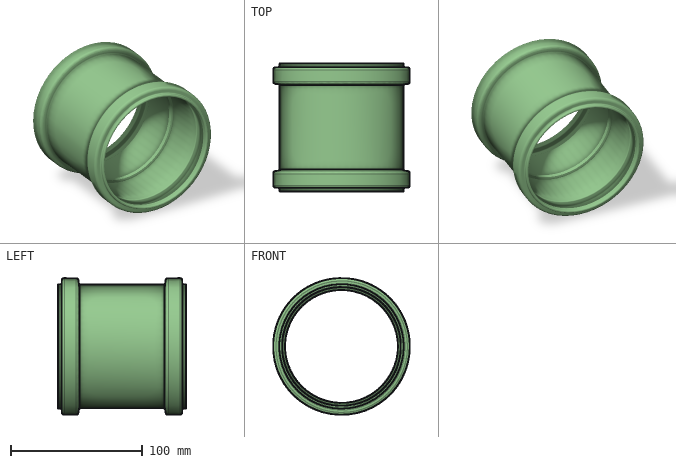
import cadquery as cq

length = 98.0
wall = 2.1
bead_radius = 52.2
pipe_radius = 47.3
lip_radius = 47.5
stop_bore_radius = 43.0
stop_width = 3.1

bead_start = 2.9
bead_end = 16.2
bead_back_taper = 0.5
bead_round = 2.1
foot_round = 0.8
lip_round = 0.9
groove_round = 0.8

pipe_bore_radius = pipe_radius - wall
lip_bore_radius = lip_radius - wall
groove_radius = bead_radius - wall
groove_start = bead_start + wall
groove_end = bead_end - wall
crown_end = bead_end - bead_back_taper


def ring(width, outer_radius, inner_radius):
    """Plain ring around the Y axis, centred on the middle of the coupling."""
    section = cq.Workplane("XZ").circle(outer_radius).circle(inner_radius)
    return section.extrude(width / 2, both=True)


def circle_edges(radius, y):
    """Selector that catches only the full circle of this radius at y."""
    margin = 0.01
    reach = radius + margin
    return cq.selectors.BoxSelector(
        (-reach, y - margin, -reach), (reach, y + margin, reach), boundingbox=True
    ) - cq.selectors.BoxSelector(
        (-radius + margin, y - margin, -radius + margin),
        (radius - margin, y + margin, radius - margin),
        boundingbox=True,
    )


def half_sleeve():
    """Wall of one half: rounded lip, hollow bead and pipe up to the middle."""
    middle = length / 2
    sleeve = (
        cq.Workplane("XY")
        .moveTo(lip_bore_radius, 0)
        .lineTo(lip_radius, 0)
        .lineTo(lip_radius, bead_start)
        .lineTo(bead_radius, bead_start)
        .lineTo(bead_radius, crown_end)
        .lineTo(pipe_radius, bead_end)
        .lineTo(pipe_radius, middle)
        .lineTo(pipe_bore_radius, middle)
        .lineTo(pipe_bore_radius, groove_end)
        .lineTo(groove_radius, groove_end)
        .lineTo(groove_radius, groove_start)
        .lineTo(lip_bore_radius, groove_start)
        .close()
        .revolve(360, (0, 0, 0), (0, 1, 0))
    )
    rounded_circles = [
        (lip_bore_radius, 0, lip_round),
        (lip_radius, 0, lip_round),
        (bead_radius, bead_start, bead_round),
        (bead_radius, crown_end, bead_round),
        (lip_radius, bead_start, foot_round),
        (pipe_radius, bead_end, foot_round),
        (groove_radius, groove_start, groove_round),
        (groove_radius, groove_end, groove_round),
        (lip_bore_radius, groove_start, groove_round),
        (pipe_bore_radius, groove_end, groove_round),
    ]
    for radius, y, rounding in rounded_circles:
        sleeve = sleeve.edges(circle_edges(radius, y)).fillet(rounding)
    return sleeve.translate((0, -middle, 0))


front_half = half_sleeve()
back_half = front_half.mirror("XZ")
stop = ring(stop_width, pipe_radius - wall / 2, stop_bore_radius)
result = front_half.union(back_half).union(stop).clean()